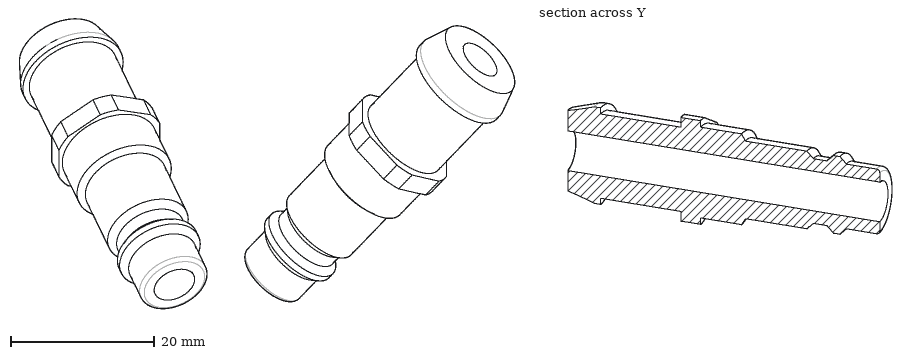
import cadquery as cq
import math


total_length = 47.0
barb_taper_length = 4.0
barb_end = 5.0
hex_start = 17.0
hex_width = 3.0
collar_end = 26.2
body_end = 36.0
ridge_start = 39.0

barb_tip_diameter = 12.4
barb_diameter = 14.9
stem_diameter = 13.0
collar_diameter = 14.0
body_diameter = 12.0
neck_diameter = 10.0
bore_diameter = 6.0

hex_across_flats = 15.0
hex_corner_diameter = 16.0

collar_bevel_angle = 30.0
tip_rounding = 0.5

collar_step = (collar_diameter - body_diameter) / 2
collar_bevel_length = collar_step * math.tan(math.radians(collar_bevel_angle))
neck_step = (body_diameter - neck_diameter) / 2
ridge_crest_start = ridge_start + neck_step
ridge_crest_end = ridge_crest_start + neck_step
ridge_end = ridge_crest_end + neck_step


def turned_body():
    """Revolve the stepped outside profile about the X axis and round the plug tip."""
    profile = [
        (0, 0),
        (0, barb_tip_diameter / 2),
        (barb_taper_length, barb_diameter / 2),
        (barb_end, barb_diameter / 2),
        (barb_end, stem_diameter / 2),
        (hex_start, stem_diameter / 2),
        (hex_start, collar_diameter / 2),
        (collar_end, collar_diameter / 2),
        (collar_end + collar_bevel_length, body_diameter / 2),
        (body_end, body_diameter / 2),
        (body_end + neck_step, neck_diameter / 2),
        (ridge_start, neck_diameter / 2),
        (ridge_crest_start, body_diameter / 2),
        (ridge_crest_end, body_diameter / 2),
        (ridge_end, neck_diameter / 2),
        (total_length, neck_diameter / 2),
        (total_length, 0),
    ]
    body = cq.Workplane("XY").polyline(profile).close().revolve(360, (0, 0, 0), (1, 0, 0))
    return body.faces(">X").edges().fillet(tip_rounding)


def wrench_hexagon():
    """Hexagon with flats facing +Y and -Y and its corners turned round."""
    corner_to_corner = hex_across_flats / math.cos(math.pi / 6)
    plane = cq.Workplane("YZ").workplane(offset=hex_start)
    hexagon = plane.transformed(rotate=(0, 0, 90)).polygon(6, corner_to_corner).extrude(hex_width)
    return hexagon.intersect(plane.circle(hex_corner_diameter / 2).extrude(hex_width))


bore = cq.Workplane("YZ").circle(bore_diameter / 2).extrude(total_length)
result = turned_body().union(wrench_hexagon()).cut(bore)